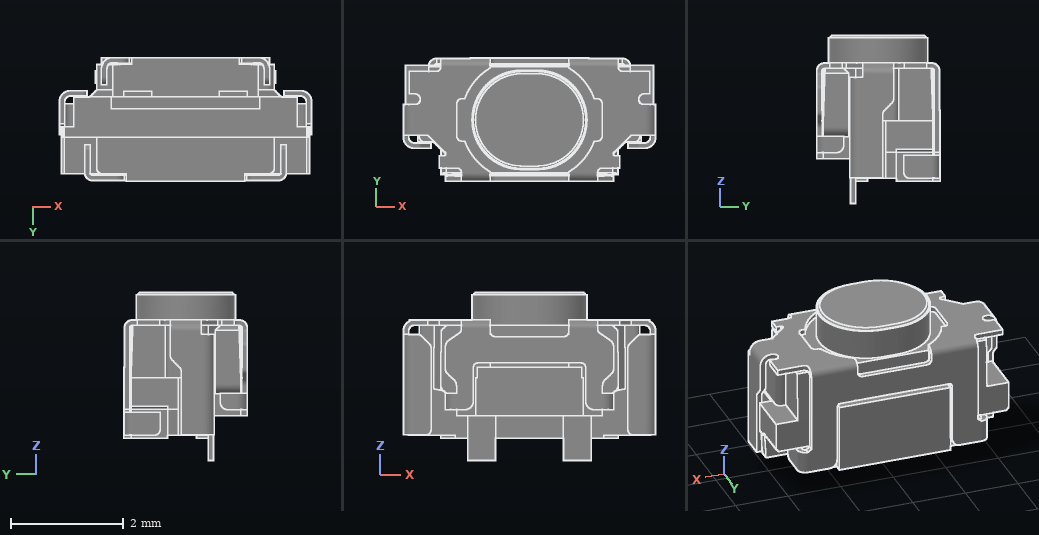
import cadquery as cq
import math

cover_top = 2.115
sheet = 0.1
body_top = cover_top - sheet
button_top = 2.605
body_bottom = 0.055
pin_bottom = -0.395

half_length = 2.25
flap_y = 1.1
flap_bend = 0.15
wide_bend = 0.2
relief_radius = 0.095
slot_half = 0.7
slot_bottom = 1.815

body_half = 1.965
body_back_y = 0.37
body_front_y = -0.395
body_round = 0.105
wall_y = 0.975
post_top_y = 0.945
ledge_top = 1.085
block_top = 1.275

button_radius = 0.885
button_straight = 0.28
button_shoulder = 0.022
button_chamfer = 0.04
button_gap = 0.2


def block(x_half, y_range, z_range):
    """Box symmetric about X = 0."""
    depth = y_range[1] - y_range[0]
    height = z_range[1] - z_range[0]
    box = cq.Workplane("XY").box(2 * x_half, depth, height, centered=(True, False, False))
    return box.translate((0, y_range[0], z_range[0]))


def xz_sheet(profile, y_front, depth):
    """Extrude a closed profile drawn in X and Z from y_front toward +Y."""
    return profile.extrude(-depth).translate((0, y_front, 0))


def bend(corner, u_dir, normal, width, radius, tail=0):
    """Quarter bend in sheet metal, with an optional flat tail running on along u_dir.

    The sharp outer corner would lie at the origin of the given plane; both legs run along its +axes.
    """
    inner = radius - sheet
    diagonal = math.sqrt(0.5)
    outer_mid = radius * (1 - diagonal)
    inner_mid = radius - inner * diagonal
    plane = cq.Plane(corner, u_dir, normal)
    ring = (
        cq.Workplane(plane)
        .moveTo(radius, 0)
        .threePointArc((outer_mid, outer_mid), (0, radius))
        .lineTo(sheet, radius)
        .threePointArc((inner_mid, inner_mid), (radius, sheet))
        .close()
        .extrude(width)
    )
    if tail == 0:
        return ring
    flat = cq.Workplane(plane).moveTo(radius, 0).lineTo(radius + tail, 0)
    flat = flat.lineTo(radius + tail, sheet).lineTo(radius, sheet).close().extrude(width)
    return ring.union(flat)


def round_corners(solid, corners, radius):
    """Fillet the edges whose midpoints are nearest to the given points."""
    for corner in corners:
        solid = solid.edges(cq.NearestToPointSelector(corner)).fillet(radius)
    return solid


def drafted_post(lower_outline, upper_outline):
    """Straight-sided blend from an outline at the ledge level up to one at the body top."""
    return (
        cq.Workplane("XY")
        .workplane(offset=ledge_top)
        .polyline(lower_outline)
        .close()
        .workplane(offset=body_top - ledge_top)
        .polyline(upper_outline)
        .close()
        .loft(ruled=True)
    )


def main_body():
    lower_half, lower_back_y = 1.995, 0.325
    upper = block(body_half, (body_front_y, body_back_y), (ledge_top, body_top))
    upper = upper.edges("|Z").fillet(body_round)
    lower = block(lower_half, (body_front_y, lower_back_y), (body_bottom, ledge_top))
    return upper.union(lower)


def wall_ribs():
    """Upright ribs that keep the walls plumb beside the cover slots."""
    rib_end = 1.17
    ribs = block(rib_end, (-wall_y, wall_y), (ledge_top, body_top))
    return ribs.cut(block(slot_half, (-wall_y, wall_y), (ledge_top, body_top)))


def back_body():
    post_half, lower_half, foot_front = 1.8, 1.585, 0.325
    ledge_half, ledge_front, ledge_bottom, ledge_chamfer = 2.215, 0.135, 0.52, 0.05
    skirt_half, skirt_top_half = 2.16, 2.185
    stop_half, stop_y = 1.058, 1.11

    post = drafted_post(
        [(-post_half, 0), (post_half, 0), (post_half, wall_y), (-post_half, wall_y)],
        [(-post_half, 0), (post_half, 0), (post_half, post_top_y), (-post_half, post_top_y)],
    )
    ledge = block(ledge_half, (ledge_front, wall_y), (ledge_bottom, ledge_top))
    ledge = ledge.faces("<Z").edges("|Y").chamfer(ledge_chamfer)
    skirt = (
        cq.Workplane("XZ")
        .polyline(
            [
                (-skirt_half, body_bottom),
                (skirt_half, body_bottom),
                (skirt_top_half, ledge_bottom),
                (ledge_half, ledge_bottom),
                (ledge_half, ledge_top),
                (-ledge_half, ledge_top),
                (-ledge_half, ledge_bottom),
                (-skirt_top_half, ledge_bottom),
            ]
        )
        .close()
    )
    skirt = xz_sheet(skirt, ledge_front, foot_front - ledge_front)
    lower = block(lower_half, (foot_front, wall_y), (0, ledge_bottom))
    lower = lower.faces(">Y").edges("|Z").fillet(body_round)
    stop = block(stop_half, (foot_front, stop_y), (0, block_top))
    return post.union(ledge).union(skirt).union(lower).union(stop)


def front_body():
    neck_half, post_half, post_back, side_draft = 1.71, 1.585, -0.52, 0.015
    post_bottom, post_round, post_chamfer = 0.8, 0.16, 0.09
    neck_bottom = 0.885
    lower_half, lower_bottom = 1.295, 0.405
    stop_half, stop_top_half = 0.96, 0.925

    def outline(inset, front_y):
        left = [
            (inset - neck_half, body_front_y),
            (inset - post_half, post_back),
            (inset - post_half, front_y),
        ]
        return left + [(-x, y) for x, y in reversed(left)]

    upper = drafted_post(outline(0, -wall_y), outline(side_draft, -post_top_y))
    upper = upper.faces(">Z").edges("|Y").chamfer(post_chamfer)
    post_end = block(post_half, (-wall_y, post_back), (post_bottom, ledge_top))
    post_end = post_end.faces("<Z").edges("|Y").fillet(post_round)
    neck_outline = [
        (-neck_half, body_front_y),
        (-post_half, post_back),
        (post_half, post_back),
        (neck_half, body_front_y),
    ]
    neck = cq.Workplane("XY").polyline(neck_outline).close().extrude(ledge_top)
    neck_front = cq.Workplane("XZ").polyline(
        [
            (-neck_half, ledge_top),
            (-neck_half, neck_bottom),
            (-lower_half, post_bottom),
            (lower_half, post_bottom),
            (neck_half, neck_bottom),
            (neck_half, ledge_top),
        ]
    ).close()
    neck = neck.intersect(xz_sheet(neck_front, -wall_y, wall_y))
    lower = block(lower_half, (-wall_y, 0), (lower_bottom, ledge_top))
    stop = block(stop_half, (-flap_y, 0), (lower_bottom, ledge_top))
    stop_tip = block(stop_top_half, (-flap_y, 0), (ledge_top, block_top))
    return upper.union(post_end).union(neck).union(lower).union(stop).union(stop_tip)


def front_foot():
    foot_half, foot_back_y = 1.328, -0.19
    return block(foot_half, (body_front_y, foot_back_y), (0, body_bottom))


def pins():
    pin_centre, pin_width, pin_top = 0.855, 0.5, 0.405
    pin = cq.Workplane("XY").box(pin_width, sheet, pin_top - pin_bottom, centered=(True, False, False))
    pin = pin.translate((0, body_front_y - sheet, pin_bottom))
    return pin.translate((-pin_centre, 0, 0)).union(pin.translate((pin_centre, 0, 0)))


def slot_prism(radius, bottom, top):
    """Upright prism with two round ends, as long between end centres as the button."""
    return (
        cq.Workplane("XY")
        .workplane(offset=bottom)
        .slot2D(button_straight + 2 * radius, 2 * radius)
        .extrude(top - bottom)
    )


def button():
    shoulder_z = button_top - button_chamfer
    stem = slot_prism(button_radius, body_top, shoulder_z)
    crown = slot_prism(button_radius - button_shoulder, body_top, button_top)
    return stem.union(crown.faces(">Z").chamfer(button_chamfer))


side_y = 0.275
side_x = half_length - wide_bend
front_tab_half = 1.215
back_tab_half = 1.585
bend_y = flap_y - flap_bend


def top_plate():
    edge_x, back_edge, front_edge = 2.14, 0.865, -0.86
    relief_end = 1.95
    slant_start, slant_end = (-1.815, -side_y), (-1.52, -0.565)
    notch_mid = (-1.495, -0.608)
    ear_x, ear_back = 1.61, -0.64
    corner = 0.075
    relief_y = side_y + 2 * relief_radius
    outline = (
        cq.Workplane("XY")
        .workplane(offset=body_top)
        .moveTo(0, bend_y)
        .lineTo(-back_tab_half, bend_y)
        .lineTo(-back_tab_half, back_edge + corner)
        .radiusArc((-back_tab_half - corner, back_edge), corner)
        .lineTo(-edge_x, back_edge)
        .lineTo(-edge_x, relief_y)
        .lineTo(-relief_end - relief_radius, relief_y)
        .threePointArc((-relief_end, side_y + relief_radius), (-relief_end - relief_radius, side_y))
        .lineTo(-side_x, side_y)
        .lineTo(-side_x, -side_y)
        .lineTo(*slant_start)
        .lineTo(*slant_end)
        .threePointArc(notch_mid, (slant_end[0], ear_back))
        .lineTo(-ear_x, ear_back)
        .lineTo(-ear_x, front_edge)
        .lineTo(-front_tab_half - corner, front_edge)
        .radiusArc((-front_tab_half, front_edge - corner), corner)
        .lineTo(-front_tab_half, -bend_y)
        .lineTo(0, -bend_y)
        .close()
    )
    return outline.extrude(sheet)


def close_round_window(profile, leg_inner, flap_bottom):
    """Finish a flap profile along the foot of its leg and round the window over the stop."""
    leg_round = 0.155
    window_top, window_round = 1.345, 0.07
    return (
        profile.lineTo(-leg_inner - leg_round, flap_bottom)
        .radiusArc((-leg_inner, flap_bottom + leg_round), -leg_round)
        .lineTo(-leg_inner, window_top - window_round)
        .radiusArc((-leg_inner + window_round, window_top), window_round)
        .lineTo(0, window_top)
        .close()
    )


def front_flap():
    shoulder, shoulder_top, shoulder_bottom = 1.5, 1.71, 1.192
    neck_z = 1.905
    leg_outer = shoulder - wide_bend
    notch_start, notch_mid, notch_end_z = (-1.375, 1.07), (-1.325, 1.015), 0.935
    wrap_top, flap_bottom = 0.81, 0.515
    leg_inner = 1.0
    wrap_depth, wrap_round = 0.485, 0.135
    shoulder_round, small_round = 0.135, 0.09

    profile = (
        cq.Workplane("XZ")
        .moveTo(0, cover_top - flap_bend)
        .lineTo(-front_tab_half, cover_top - flap_bend)
        .lineTo(-front_tab_half, neck_z)
        .lineTo(-shoulder, shoulder_top)
        .lineTo(-shoulder, shoulder_bottom)
        .lineTo(*notch_start)
        .threePointArc(notch_mid, (-leg_outer, notch_end_z))
        .lineTo(-leg_outer, flap_bottom)
    )
    profile = close_round_window(profile, leg_inner, flap_bottom)
    flat = xz_sheet(profile, -flap_y, sheet)
    sheet_mid = sheet / 2 - flap_y
    flat = round_corners(flat, [(-shoulder, sheet_mid, shoulder_top)], shoulder_round)
    flat = round_corners(
        flat, [(-shoulder, sheet_mid, shoulder_bottom), (-front_tab_half, sheet_mid, neck_z)], small_round
    )
    fold = bend((0, -flap_y, cover_top), (0, 1, 0), (-1, 0, 0), front_tab_half, flap_bend)
    wrap = bend(
        (-shoulder, -flap_y, wrap_top), (0, 1, 0), (0, 0, -1),
        wrap_top - flap_bottom, wide_bend, wrap_depth - wide_bend,
    )
    wrap = wrap.faces(">Y").edges("<Z").fillet(wrap_round)
    return flat.union(fold).union(wrap)


def back_flap():
    wrap_x, wrap_top, flap_bottom = 1.8, 0.47, 0.06
    leg_inner = 1.095
    wrap_depth, wrap_round = 0.64, 0.1
    leg_outer = wrap_x - flap_bend
    leg_top = 0.52

    profile = (
        cq.Workplane("XZ")
        .moveTo(0, cover_top - flap_bend)
        .lineTo(-back_tab_half, cover_top - flap_bend)
        .lineTo(-back_tab_half, leg_top)
        .lineTo(-leg_outer, wrap_top)
        .lineTo(-leg_outer, flap_bottom)
    )
    profile = close_round_window(profile, leg_inner, flap_bottom)
    flat = xz_sheet(profile, flap_y - sheet, sheet)
    fold = bend((0, flap_y, cover_top), (0, 0, -1), (-1, 0, 0), back_tab_half, flap_bend)
    wrap = bend(
        (-wrap_x, flap_y, flap_bottom), (0, -1, 0), (0, 0, 1),
        wrap_top - flap_bottom, flap_bend, wrap_depth - flap_bend,
    )
    wrap = wrap.faces("<Y").edges("<Z").fillet(wrap_round)
    return flat.union(fold).union(wrap)


def side_flap():
    flap_bottom, wrap_top = 0.065, 1.855
    wrap_y, wrap_end = 0.51, 1.755
    step_top, step_bottom, lower_back = 1.43, 1.238, 0.085
    step_round, relief_round = 0.068, 0.025
    wrap_chamfer, wrap_round = 0.2, 0.09
    bend_z = cover_top - wide_bend
    bend_end_y = wide_bend - wrap_y

    fold = bend((-half_length, -side_y, cover_top), (1, 0, 0), (0, 1, 0), 2 * side_y, wide_bend)
    flat = (
        cq.Workplane("YZ")
        .polyline(
            [
                (side_y, bend_z),
                (side_y, step_top),
                (lower_back, step_bottom),
                (lower_back, flap_bottom),
                (bend_end_y, flap_bottom),
                (bend_end_y, wrap_top),
                (-side_y, wrap_top),
                (-side_y, bend_z),
            ]
        )
        .close()
        .extrude(sheet)
        .translate((-half_length, 0, 0))
    )
    sheet_mid = sheet / 2 - half_length
    step = [(sheet_mid, side_y, step_top), (sheet_mid, lower_back, step_bottom)]
    flat = round_corners(flat, step, step_round)
    flat = round_corners(flat, [(sheet_mid, -side_y, wrap_top)], relief_round)
    wrap = bend(
        (-half_length, -wrap_y, flap_bottom), (1, 0, 0), (0, 0, 1),
        wrap_top - flap_bottom, wide_bend, half_length - wrap_end - wide_bend,
    )
    wrap = wrap.faces(">X").edges(">Z").chamfer(wrap_chamfer)
    tab_mid = sheet / 2 - wrap_y
    chamfer_ends = [
        (-wrap_end - wrap_chamfer, tab_mid, wrap_top),
        (-wrap_end, tab_mid, wrap_top - wrap_chamfer),
    ]
    wrap = round_corners(wrap, chamfer_ends, wrap_round)
    wrap = round_corners(wrap, [(-wrap_end, tab_mid, flap_bottom)], wrap_round)
    return fold.union(flat).union(wrap)


def cover_opening():
    """Clearance round the button, open to the front and back down to the slot bottoms."""
    wide_half, wide_y, wide_round = 1.295, 0.38, 0.09
    hole = slot_prism(button_radius + button_gap, body_top, cover_top)
    hole = hole.intersect(block(half_length, (-bend_y, bend_y), (body_top, cover_top)))
    side_room = block(wide_half, (-wide_y, wide_y), (body_top, cover_top)).edges("|Z").fillet(wide_round)
    slot = block(slot_half, (-flap_y, flap_y), (slot_bottom, cover_top))
    slot = slot.faces("<Z").edges("|Y").fillet(relief_radius)
    return hole.union(side_room).union(slot)


half_cover = top_plate().union(front_flap()).union(back_flap()).union(side_flap())
cover = half_cover.union(half_cover.mirror("YZ")).cut(cover_opening())

result = cover
for section in (main_body(), wall_ribs(), back_body(), front_body(), front_foot(), pins(), button()):
    result = result.union(section)